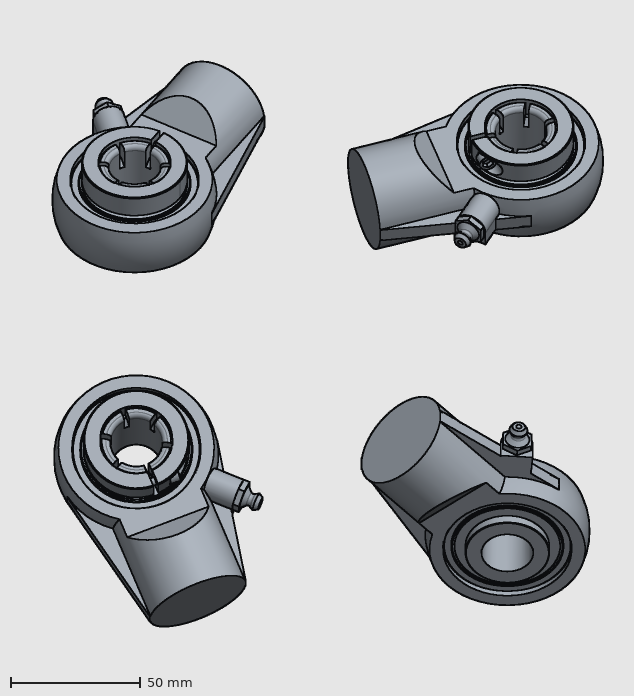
import cadquery as cq
import math

ball_radius = 31.9
head_height = 21.1
shank_diameter = 39.95
shank_end_y = 63.9
flat_start_y = 32.9
web_thickness = 5.9
housing_bore = 49.8

boss_radius = 6.2
boss_axis_z = 4.0
boss_root = 27.8
boss_end = 42.9

outer_ring_height = 17.1
outer_ring_bore = 43.6
outer_ring_chamfer = 0.5

seal_thickness = 1.4
seal_rise = 0.3
seal_lip_outer = 42.5
seal_lip_inner = 40.9

shaft_bore = 20.0
inner_ring_diameter = 32.5
inner_ring_bottom_z = -12.5
inner_ring_chamfer = 0.24
shoulder_z = 10.5
collet_diameter = 28.1
collet_top_z = 18.6
collet_chamfer = 0.7
bore_fillet = 1.9
slot_count = 6
slot_width = 2.0
slot_floor_z = 11.3
slot_slope_radius = 12.6

collar_diameter = 40.8
collar_top_z = 19.8
collar_chamfer = 0.4

screw_y = 16.8
screw_z = 15.0
screw_head_diameter = 7.0
screw_head_face_x = -10.3
screw_head_length = 4.0
screw_shank_diameter = 3.3
screw_end_x = 7.7
counterbore_diameter = 8.0
socket_flats = 4.0
socket_depth = 1.9

nipple_flats = 11.0
nipple_hex_length = 2.5
nipple_cone_radius = 4.7
nipple_neck_radius = 2.5
nipple_neck_bottom_radius = 2.8
nipple_neck_top_radius = 2.9
nipple_head_radius = 3.5
nipple_tip_radius = 2.5
nipple_dome_radius = 1.1
nipple_neck_bottom = 1.9
nipple_neck_middle = 2.8
nipple_neck_top = 3.6
nipple_head_ridge = 5.0
nipple_tip = 6.8
nipple_dome_top = 7.2

shank_radius = shank_diameter / 2
half_head = head_height / 2
half_ring = outer_ring_height / 2


def disc(diameter, bottom_z, top_z):
    return cq.Workplane("XY").workplane(offset=bottom_z).circle(diameter / 2).extrude(top_z - bottom_z)


def boss_plane(distance):
    """Plane across the grease boss axis; its local y axis is global Z."""
    diagonal = distance / math.sqrt(2)
    return cq.Plane(origin=(-diagonal, diagonal, boss_axis_z), xDir=(-1, -1, 0), normal=(-1, 1, 0))


def make_shank():
    shoulder_rise = shank_radius - half_head
    shoulder_end_y = flat_start_y + shoulder_rise
    side_profile = (
        cq.Workplane("YZ")
        .polyline([
            (0, -half_head),
            (flat_start_y, -half_head),
            (shoulder_end_y, -shank_radius),
            (shank_end_y, -shank_radius),
            (shank_end_y, shank_radius),
            (shoulder_end_y, shank_radius),
            (flat_start_y, half_head),
            (0, half_head),
        ])
        .close()
        .extrude(shank_radius, both=True)
    )
    rod = cq.Workplane("XZ").circle(shank_radius).extrude(-shank_end_y)
    return rod.intersect(side_profile)


def make_web():
    """Flat web whose sides run from the shank end tangentially onto the head."""
    corner_distance = math.hypot(shank_radius, shank_end_y)
    corner_angle = math.atan2(shank_end_y, shank_radius)
    tangent_angle = corner_angle - math.acos(ball_radius / corner_distance)
    tangent_x = ball_radius * math.cos(tangent_angle)
    tangent_y = ball_radius * math.sin(tangent_angle)
    return (
        cq.Workplane("XY")
        .polyline([
            (-tangent_x, tangent_y),
            (tangent_x, tangent_y),
            (shank_radius, shank_end_y),
            (-shank_radius, shank_end_y),
        ])
        .close()
        .extrude(web_thickness / 2, both=True)
    )


def make_boss():
    """Grease boss: round on top, straight sides down to the web underside."""
    foot = -web_thickness / 2 - boss_axis_z
    return (
        cq.Workplane(boss_plane(boss_root))
        .moveTo(boss_radius, 0)
        .threePointArc((0, boss_radius), (-boss_radius, 0))
        .lineTo(-boss_radius, foot)
        .lineTo(boss_radius, foot)
        .close()
        .extrude(boss_end - boss_root)
    )


def make_housing():
    head = cq.Workplane("XY").sphere(ball_radius).intersect(disc(3 * ball_radius, -half_head, half_head))
    body = head.union(make_shank()).union(make_web()).union(make_boss())
    return body.cut(disc(housing_bore, -half_head, half_head))


def make_outer_ring():
    ring = disc(housing_bore, -half_ring, half_ring).faces("|Z").edges().chamfer(outer_ring_chamfer)
    return ring.cut(disc(outer_ring_bore, -half_ring, half_ring))


def make_top_seal():
    """Shield between the rings, with a low lip tapered on its outside."""
    inner_radius = inner_ring_diameter / 2
    outer_radius = outer_ring_bore / 2
    seal_bottom_z = half_ring - seal_thickness
    lip_top_z = half_ring + seal_rise
    return (
        cq.Workplane("XZ")
        .polyline([
            (inner_radius, seal_bottom_z),
            (outer_radius, seal_bottom_z),
            (outer_radius, half_ring),
            (seal_lip_outer / 2, lip_top_z),
            (seal_lip_inner / 2, lip_top_z),
            (seal_lip_inner / 2, half_ring),
            (inner_radius, half_ring),
        ])
        .close()
        .revolve(360, (0, 0, 0), (0, 1, 0))
    )


def make_collet_slots():
    """Radial slots with a floor that slopes down at 45 degrees to the bore."""
    blade = (
        cq.Workplane("XZ")
        .polyline([
            (0, slot_floor_z - slot_slope_radius),
            (slot_slope_radius, slot_floor_z),
            (collet_diameter, slot_floor_z),
            (collet_diameter, collet_top_z),
            (0, collet_top_z),
        ])
        .close()
        .extrude(slot_width / 2, both=True)
    )
    step = 360 / slot_count
    first_slot_angle = 90
    slots = cq.Workplane("XY")
    for index in range(slot_count):
        slots = slots.union(blade.rotate((0, 0, 0), (0, 0, 1), first_slot_angle + index * step))
    return slots


def make_inner_ring():
    body = disc(inner_ring_diameter, inner_ring_bottom_z, shoulder_z)
    body = body.faces("<Z").edges().chamfer(inner_ring_chamfer)
    collet = disc(collet_diameter, shoulder_z, collet_top_z).faces(">Z").edges().chamfer(collet_chamfer)
    ring = body.union(collet).cut(disc(shaft_bore, inner_ring_bottom_z, collet_top_z))
    ring = ring.faces(">Z").edges(cq.selectors.RadiusNthSelector(0)).fillet(bore_fillet)
    return ring.cut(make_collet_slots())


def screw_cylinder(diameter, start_x, end_x):
    return (
        cq.Workplane("YZ", origin=(start_x, 0, 0))
        .center(screw_y, screw_z)
        .circle(diameter / 2)
        .extrude(end_x - start_x)
    )


def make_collar():
    collar = disc(collar_diameter, shoulder_z, collar_top_z).faces(">Z").edges().chamfer(collar_chamfer)
    collar = collar.cut(disc(collet_diameter, shoulder_z, collar_top_z))
    slit = cq.Workplane("XY").box(
        slot_width, collar_diameter, 2 * collar_top_z, centered=(True, False, True)
    )
    seat_x = screw_head_face_x + screw_head_length
    counterbore = screw_cylinder(counterbore_diameter, -collar_diameter, seat_x)
    shank_hole = screw_cylinder(screw_shank_diameter, seat_x, screw_end_x)
    return collar.cut(slit).cut(counterbore).cut(shank_hole)


def make_clamp_screw():
    seat_x = screw_head_face_x + screw_head_length
    head = screw_cylinder(screw_head_diameter, screw_head_face_x, seat_x)
    shank = screw_cylinder(screw_shank_diameter, seat_x, screw_end_x)
    socket_corners = socket_flats / math.cos(math.pi / 6)
    socket = (
        cq.Workplane("YZ", origin=(screw_head_face_x, screw_y, screw_z))
        .transformed(rotate=(0, 0, 90))
        .polygon(6, socket_corners)
        .extrude(socket_depth)
    )
    return head.union(shank).cut(socket)


def make_grease_nipple():
    hex_corners = nipple_flats / math.cos(math.pi / 6)
    hexagon = (
        cq.Workplane(boss_plane(boss_end))
        .transformed(rotate=(0, 0, 90))
        .polygon(6, hex_corners)
        .extrude(nipple_hex_length)
    )
    base = boss_plane(boss_end + nipple_hex_length)
    profile_plane = cq.Plane(origin=base.origin, xDir=(0, 0, 1), normal=(-1, -1, 0))
    head = (
        cq.Workplane(profile_plane)
        .lineTo(nipple_cone_radius, 0)
        .lineTo(nipple_neck_bottom_radius, nipple_neck_bottom)
        .threePointArc(
            (nipple_neck_radius, nipple_neck_middle),
            (nipple_neck_top_radius, nipple_neck_top),
        )
        .lineTo(nipple_head_radius, nipple_head_ridge)
        .lineTo(nipple_tip_radius, nipple_tip)
        .lineTo(nipple_dome_radius, nipple_tip)
        .lineTo(0, nipple_dome_top)
        .close()
        .revolve(360, (0, 0, 0), (0, 1, 0))
    )
    return hexagon.union(head)


housing = make_housing()
outer_ring = make_outer_ring()
top_seal = make_top_seal()
seals = [top_seal, top_seal.mirror("XY")]
inner_ring = make_inner_ring()
collar = make_collar()
clamp_screw = make_clamp_screw()
grease_nipple = make_grease_nipple()

result = cq.Compound.makeCompound([
    housing.val(),
    outer_ring.val(),
    *[seal.val() for seal in seals],
    inner_ring.val(),
    collar.val(),
    clamp_screw.val(),
    grease_nipple.val(),
])